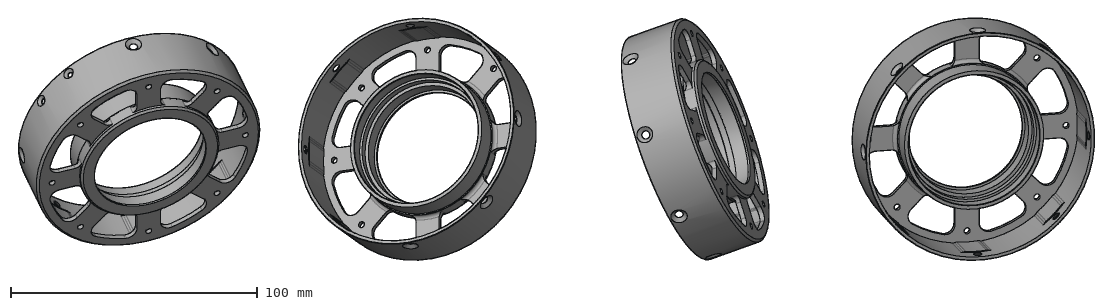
import cadquery as cq
import math

outer_diameter = 96.0
wall_inner_diameter = 93.0
body_length = 23.1
open_end_chamfer = 0.2
closed_end_chamfer = 1.0

plate_thickness = 2.0
spoke_count = 8
spoke_width = 10.2
window_outer_radius = 43.5
window_hub_overlap = 0.05
window_outer_fillet = 4.0
window_inner_fillet = 3.0
plate_hole_diameter = 2.5
plate_hole_radius = 41.5

overall_length = 25.1
hub_diameter = 58.4
hub_collar_diameter = 59.4
hub_start = 10.0
entry_bore_chamfer = 0.2
hub_end_chamfer = 0.9
collar_root_fillet = 1.5
collar_land = 0.4
entry_bore_diameter = 55.0
second_bore_diameter = 52.9
third_bore_diameter = 50.0
lip_bore_diameter = 48.0
second_bore_start = 15.3
third_bore_start = 18.3
lip_start = 24.2

position_pitch = 360.0 / spoke_count
pair_angle = 135.0
pair_half_spread = 10.0
large_hole_x = 4.2
large_hole_diameter = 3.3
large_sink_diameter = 6.7
large_sink_depth = 1.4
small_hole_x = 3.2
small_hole_diameter = 2.2
small_sink_diameter = 4.6
small_sink_depth = 1.2

pad_start = 6.9
pad_height = 0.4
pad_crest_width = 8.6
pad_blend_width = 1.9

outer_radius = outer_diameter / 2
wall_inner_radius = wall_inner_diameter / 2
hub_radius = hub_diameter / 2
collar_radius = hub_collar_diameter / 2
window_inner_radius = collar_radius - window_hub_overlap
plate_start = body_length - plate_thickness
fillet_start = plate_start - collar_root_fillet
pair_index = round(pair_angle / position_pitch)
large_hole_angles = [i * position_pitch for i in range(spoke_count) if i != pair_index]
small_hole_angles = [pair_angle - pair_half_spread, pair_angle + pair_half_spread]


def polar(radius, angle):
    """Point on the YZ plane, with the angle in degrees."""
    return (radius * math.cos(math.radians(angle)), radius * math.sin(math.radians(angle)))


def about_axis(shape, angle):
    """Turn a shape about the ring axis, from +Y towards +Z."""
    return shape.rotate((0, 0, 0), (1, 0, 0), angle)


def revolve_section(section):
    """Revolve a section drawn with x along the axis and y as the radius."""
    return section.close().revolve(360, (0, 0, 0), (1, 0, 0))


def make_shell():
    """Outer wall and end plate, with the plate's root fillet, reaching in to the hub."""
    fillet_middle = collar_root_fillet * (1 - math.sqrt(0.5))
    section = (
        cq.Workplane("XY")
        .moveTo(0, wall_inner_radius)
        .lineTo(0, outer_radius - open_end_chamfer)
        .lineTo(open_end_chamfer, outer_radius)
        .lineTo(body_length - closed_end_chamfer, outer_radius)
        .lineTo(body_length, outer_radius - closed_end_chamfer)
        .lineTo(body_length, hub_radius)
        .lineTo(fillet_start, hub_radius)
        .lineTo(fillet_start, collar_radius)
        .threePointArc(
            (plate_start - fillet_middle, collar_radius + fillet_middle),
            (plate_start, collar_radius + collar_root_fillet),
        )
        .lineTo(plate_start, wall_inner_radius)
    )
    return revolve_section(section)


def make_hub():
    """Hub tube with its collar and the bores stepping down towards the lip."""
    collar_start = fillet_start - collar_land
    section = (
        cq.Workplane("XY")
        .moveTo(hub_start, hub_radius)
        .lineTo(collar_start, hub_radius)
        .lineTo(collar_start, collar_radius)
        .lineTo(overall_length - hub_end_chamfer, collar_radius)
        .lineTo(overall_length, collar_radius - hub_end_chamfer)
        .lineTo(overall_length, lip_bore_diameter / 2)
        .lineTo(lip_start, lip_bore_diameter / 2)
        .lineTo(lip_start, third_bore_diameter / 2)
        .lineTo(third_bore_start, third_bore_diameter / 2)
        .lineTo(third_bore_start, second_bore_diameter / 2)
        .lineTo(second_bore_start, second_bore_diameter / 2)
        .lineTo(second_bore_start, entry_bore_diameter / 2)
        .lineTo(hub_start + entry_bore_chamfer, entry_bore_diameter / 2)
        .lineTo(hub_start, entry_bore_diameter / 2 + entry_bore_chamfer)
    )
    return revolve_section(section)


def make_window():
    """Cutter between the spokes at 0 and one pitch; its sides are parallel to those spokes."""
    half_width = spoke_width / 2
    inner_start = math.degrees(math.asin(half_width / window_inner_radius))
    outer_start = math.degrees(math.asin(half_width / window_outer_radius))
    middle = position_pitch / 2
    cutter = (
        cq.Workplane("YZ")
        .workplane(offset=fillet_start)
        .moveTo(*polar(window_inner_radius, inner_start))
        .lineTo(*polar(window_outer_radius, outer_start))
        .threePointArc(
            polar(window_outer_radius, middle),
            polar(window_outer_radius, position_pitch - outer_start),
        )
        .lineTo(*polar(window_inner_radius, position_pitch - inner_start))
        .threePointArc(polar(window_inner_radius, middle), polar(window_inner_radius, inner_start))
        .close()
        .extrude(body_length - fillet_start)
    )
    cut_middle = (fillet_start + body_length) / 2

    def fillet_corners(solid, radius, start_angle, fillet):
        """Round the two axial edges that lie at this radius, one beside each spoke."""
        for angle in (start_angle, position_pitch - start_angle):
            corner = (cut_middle, *polar(radius, angle))
            solid = solid.edges(cq.selectors.NearestToPointSelector(corner)).fillet(fillet)
        return solid

    cutter = fillet_corners(cutter, window_outer_radius, outer_start, window_outer_fillet)
    return fillet_corners(cutter, window_inner_radius, inner_start, window_inner_fillet)


def make_pad():
    """Pad at angle 0: a concentric crest with an S-shaped blend down to the wall on each side."""
    crest_radius = wall_inner_radius - pad_height
    crest_half_angle = math.degrees(pad_crest_width / 2 / crest_radius)
    blend_angle = math.degrees(pad_blend_width / crest_radius)
    foot_angle = crest_half_angle + blend_angle
    blend_middle = (crest_radius + wall_inner_radius) / 2
    blend_middle_angle = crest_half_angle + blend_angle / 2
    buried_radius = (wall_inner_radius + outer_radius) / 2
    half_pad = (
        cq.Workplane("YZ")
        .workplane(offset=pad_start)
        .moveTo(*polar(crest_radius, 0))
        .threePointArc(polar(crest_radius, crest_half_angle / 2), polar(crest_radius, crest_half_angle))
        .tangentArcPoint(polar(blend_middle, blend_middle_angle), relative=False)
        .tangentArcPoint(polar(wall_inner_radius, foot_angle), relative=False)
        .lineTo(*polar(buried_radius, foot_angle))
        .lineTo(*polar(buried_radius, 0))
        .close()
        .extrude(plate_start - pad_start)
    )
    return half_pad.union(half_pad.mirror("XY"))


def make_countersunk_hole(x, hole_diameter, sink_diameter, sink_depth):
    """Cutter for a radial hole at angle 0, countersunk from the outside."""
    hole_radius = hole_diameter / 2
    sink_radius = sink_diameter / 2
    overshoot = 1.0
    flare = overshoot * (sink_radius - hole_radius) / sink_depth
    section = (
        cq.Workplane("XY")
        .moveTo(x, wall_inner_radius - overshoot)
        .lineTo(x + hole_radius, wall_inner_radius - overshoot)
        .lineTo(x + hole_radius, outer_radius - sink_depth)
        .lineTo(x + sink_radius + flare, outer_radius + overshoot)
        .lineTo(x, outer_radius + overshoot)
        .close()
    )
    return section.revolve(360, (x, 0, 0), (x, 1, 0))


window = make_window()
plate_hole = (
    cq.Workplane("YZ")
    .workplane(offset=plate_start)
    .center(plate_hole_radius, 0)
    .circle(plate_hole_diameter / 2)
    .extrude(plate_thickness)
)
result = make_shell()
for index in range(spoke_count):
    result = result.cut(about_axis(window, index * position_pitch))
    result = result.cut(about_axis(plate_hole, index * position_pitch))
result = result.union(make_hub())

pad = make_pad()
large_hole = make_countersunk_hole(large_hole_x, large_hole_diameter, large_sink_diameter, large_sink_depth)
for angle in large_hole_angles:
    result = result.union(about_axis(pad, angle))
    result = result.cut(about_axis(large_hole, angle))

small_hole = make_countersunk_hole(small_hole_x, small_hole_diameter, small_sink_diameter, small_sink_depth)
for angle in small_hole_angles:
    result = result.cut(about_axis(small_hole, angle))